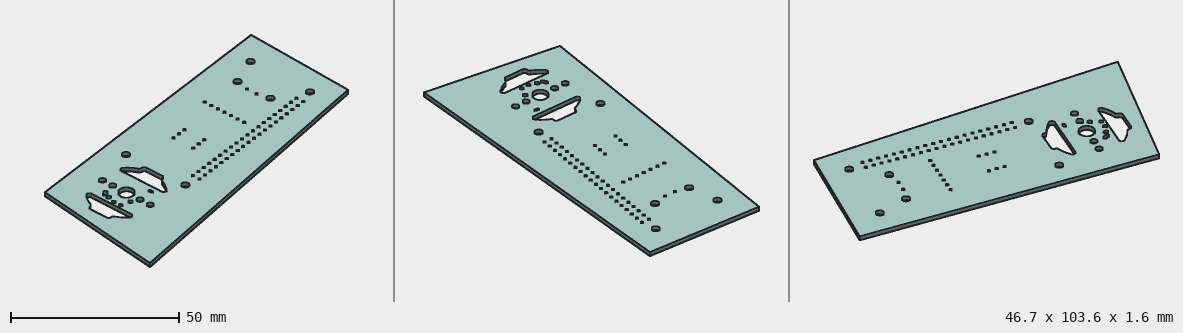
import cadquery as cq

plate_width = 46.7
plate_length = 103.6
plate_thickness = 1.6
top_right_corner = (15.6, 49.8)
bottom_left_corner = (-22.4, -45.5)

mounting_hole_diameter = 2.5
pin_hole_diameter = 0.8

mounting_center = (-3.9, 12.8)
mounting_spacing_x = 22.9
mounting_spacing_y = 58.0

header_center = (7.7, 12.8)
header_rows = 20
header_length = 48.3
pin_pitch = header_length / (header_rows - 1)

pin_row_center = (-5.8, 18.1)
pin_row_count = 7

pin_block_center = (-5.8, 1.6)
pin_block_rows = 3
pin_block_column_spacing = 3 * pin_pitch

connector_x = -5.9
connector_fixing_y = 32.0
connector_fixing_spacing = 12.6
connector_pin_y = 31.0
connector_pin_spacing = 3.6

switch_center = (-3.6, -30.1)
switch_stem_diameter = 5.0
switch_post_diameter = 2.2
switch_post_offsets = (5.3, 9.2)
switch_round_pins = [
    (3.7, -2.6, 1.5),
    (0.0, -5.9, 1.2),
    (2.6, -5.8, 1.2),
]
switch_slotted_pins = [
    (-4.7, -4.2, 2.3, 1.2, 120),
    (-2.6, -5.1, 1.6, 1.2, 105),
    (5.2, 5.1, 1.6, 0.8, 0),
]

window_radius = 12.0
window_inner_edge = 7.0
window_outer_edge = 13.0
window_neck_width = 8.1
window_corner_radius = 0.9


def grid(center, columns, rows, spacing_x, spacing_y):
    """Points of a rectangular grid about its centre."""
    return [
        (
            center[0] + (column - (columns - 1) / 2) * spacing_x,
            center[1] + (row - (rows - 1) / 2) * spacing_y,
        )
        for column in range(columns)
        for row in range(rows)
    ]


def on_switch(x, y):
    """Plate position of an offset from the switch centre."""
    return (switch_center[0] + x, switch_center[1] + y)


def sketch_plane():
    """Workplane on the underside of the plate."""
    return cq.Workplane("XY").workplane(offset=-plate_thickness / 2)


def plate():
    """Plain four-sided plate."""
    half_width = plate_width / 2
    half_length = plate_length / 2
    corners = [
        (-half_width, half_length),
        top_right_corner,
        (half_width, -half_length),
        bottom_left_corner,
    ]
    return sketch_plane().polyline(corners).close().extrude(plate_thickness)


def round_holes(points, diameter):
    """Cylinders through the full plate thickness."""
    return sketch_plane().pushPoints(points).circle(diameter / 2).extrude(plate_thickness)


def slot(x, y, length, width, angle):
    """Round-ended slot through the full plate thickness."""
    return sketch_plane().center(x, y).slot2D(length, width, angle).extrude(plate_thickness)


def switch_band(side, width, far_edge):
    """Block from the window's inner edge out to a distance from the switch centre."""
    height = far_edge - window_inner_edge
    middle = on_switch(0, side * (window_inner_edge + height / 2))
    return sketch_plane().center(*middle).rect(width, height).extrude(plate_thickness)


def window(side):
    """Window on the +Y (side = 1) or -Y (side = -1) side of the switch."""
    disc = round_holes([switch_center], 2 * window_radius)
    segment = disc.intersect(switch_band(side, 2 * window_radius, window_radius))
    neck = switch_band(side, window_neck_width, window_outer_edge)
    return segment.union(neck).edges("|Z").fillet(window_corner_radius)


mounting_points = grid(mounting_center, 2, 2, mounting_spacing_x, mounting_spacing_y)
fixing_points = grid((connector_x, connector_fixing_y), 2, 1, connector_fixing_spacing, 0)
pin_points = (
    grid(header_center, 2, header_rows, pin_pitch, pin_pitch)
    + grid(pin_row_center, pin_row_count, 1, pin_pitch, 0)
    + grid(pin_block_center, 2, pin_block_rows, pin_block_column_spacing, pin_pitch)
    + grid((connector_x, connector_pin_y), 2, 1, connector_pin_spacing, 0)
)
post_points = [on_switch(side * offset, 0) for side in (-1, 1) for offset in switch_post_offsets]

result = plate()
result = result.cut(round_holes(mounting_points + fixing_points, mounting_hole_diameter))
result = result.cut(round_holes(pin_points, pin_hole_diameter))
result = result.cut(round_holes([switch_center], switch_stem_diameter))
result = result.cut(round_holes(post_points, switch_post_diameter))
for x, y, diameter in switch_round_pins:
    result = result.cut(round_holes([on_switch(x, y)], diameter))
for x, y, length, width, angle in switch_slotted_pins:
    result = result.cut(slot(*on_switch(x, y), length, width, angle))
for side in (-1, 1):
    result = result.cut(window(side))